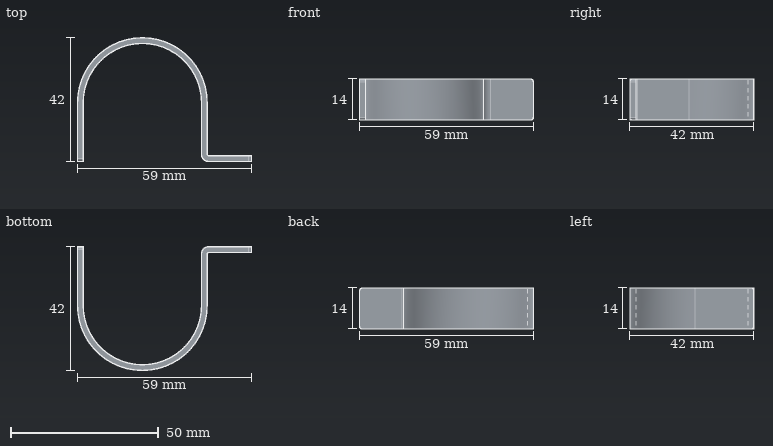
import cadquery as cq

total_length = 59.0
strip_width = 14.0
thickness = 2.0
outer_radius = 22.0
leg_length = 20.0
bend_inner_radius = 0.5
corner_radius = 1.0

inner_radius = outer_radius - thickness
bend_outer_radius = bend_inner_radius + thickness
flange_tip_x = total_length - outer_radius
flange_top_y = thickness - leg_length
bend_x = inner_radius + bend_outer_radius
bend_y = bend_outer_radius - leg_length


def make_strip():
    """Constant-thickness strip: free leg, half-round saddle, leg, bend and flange."""
    return (
        cq.Workplane("XY")
        .moveTo(-outer_radius, -leg_length)
        .lineTo(-outer_radius, 0)
        .threePointArc((0, outer_radius), (outer_radius, 0))
        .lineTo(outer_radius, bend_y)
        .radiusArc((bend_x, flange_top_y), -bend_inner_radius)
        .lineTo(flange_tip_x, flange_top_y)
        .lineTo(flange_tip_x, -leg_length)
        .lineTo(bend_x, -leg_length)
        .radiusArc((inner_radius, bend_y), bend_outer_radius)
        .lineTo(inner_radius, 0)
        .threePointArc((0, inner_radius), (-inner_radius, 0))
        .lineTo(-inner_radius, -leg_length)
        .close()
        .extrude(strip_width)
    )


def round_end_corners(strip):
    """Round the upper and lower corners of the flange tip and the free leg end."""
    strip = strip.faces(">X").edges("|Y").fillet(corner_radius)
    leg_end_x = -outer_radius + thickness / 2
    leg_end = cq.selectors.NearestToPointSelector((leg_end_x, -leg_length, strip_width / 2))
    return strip.faces(leg_end).edges("|X").fillet(corner_radius)


result = round_end_corners(make_strip())